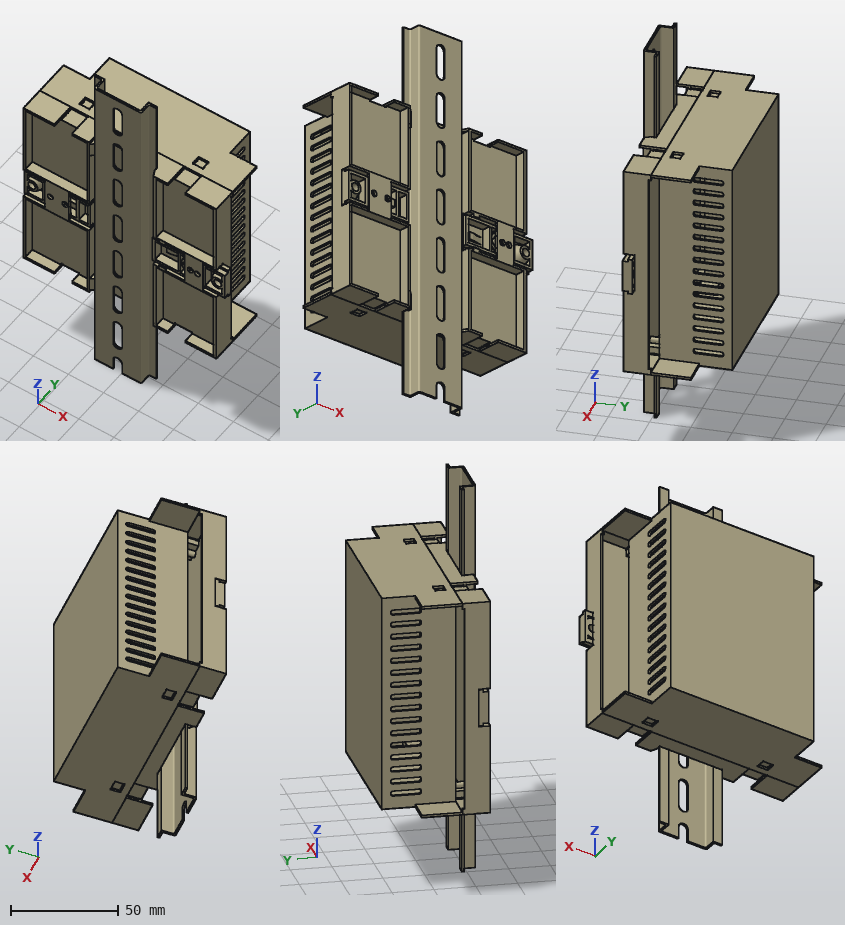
import cadquery as cq

overall_depth = 50.5
enclosure_width = 110.0
enclosure_height = 105.0
wall = 1.24

rail_length = 190.0
rail_width = 35.0
rail_web_width = 27.0
rail_depth = 7.5
rail_thickness = 1.0
rail_bend_radius = 0.8
rail_slot_length = 18.0
rail_slot_width = 5.1
rail_slot_count = 8
rail_first_slot_drop = 15.0

seam_y = 7.8
base_front_y = -5.5
base_end_wall_y = 6.6
base_corner_length = 2.8
floor_thickness = 1.3

channel_left = -17.5
channel_right = 19.0
right_rim = 1.7
lip_reach = 1.5
lip_start_y = -2.3

guide_half_height = 9.3
guide_wall = 1.1
bridge_thickness = 1.5
left_bridge = (-42.8, -29.0)
right_bridge = (36.9, 47.1)
detent_hole_radius = 1.5
left_detents = (-39.7, -31.4)
right_detents = (40.0, 44.0)

hook_reach = 2.8
hook_length = 8.0
hook_back_y = -1.3
hook_tip_y = -3.0

snap_x = 32.3
snap_width = 10.0
snap_inset = 1.9
snap_thickness = 3.5
snap_post_radius = 1.3
window_width = 5.7
window_bottom_y = 11.5
window_top_y = 16.5
nub_clearance = 0.2
nub_inset = 1.1

cover_half_body = 40.0
step_y = 27.2
vent_count = 16
vent_span = 90.0
vent_length = 14.6
vent_width = 2.5
vent_center_y = 31.5

clip_half_height = 9.0
clip_block_half_height = 7.8
clip_flange_y = -2.0
clip_front_y = -4.8
clip_low_y = -3.8
clip_window_half_height = 6.3
clip_end_bar = 1.7
clip_overhang = 4.4
left_window_width = 8.7
right_window_width = 9.5
pin_radius = 1.0
eyelet_offset = 4.2
eyelet_hole_radius = 2.0
eyelet_front_radius = 3.5
eyelet_back_radius = 5.5
clip_tip_x = 16.2
clip_tip_y = -1.1
clip_tip_front_y = -3.0
clip_face_x = 17.9
right_opening = (19.5, 32.7)
right_spring_window = (34.0, 37.6)
left_opening = (-23.8, -18.8)
left_spring_window = (-33.2, -25.5)
spring_height = 2.7
spring_near_z = 0.4
spring_far_z = 5.0
stub_half_height = 1.9

ramp = (23.5, 25.5, 31.4)
ramp_half_height = 1.9
ramp_rise = 1.1
keeper = (22.2, 25.8)
keeper_half_gap = 8.0
keeper_back_y = -2.5

rail_slot_pitch = (rail_length - rail_first_slot_drop) / (rail_slot_count - 1)
vent_pitch = vent_span / (vent_count - 1)
half_width = enclosure_width / 2
half_height = enclosure_height / 2
back_y = overall_depth - rail_depth
clip_outer_x = half_width + clip_overhang
snap_outer_z = half_height - snap_inset
pocket_inner_z = guide_half_height + guide_wall


def block(x_range, y_range, z_range):
    """Box between two limits on each axis."""
    return cq.Workplane("XY").box(
        x_range[1] - x_range[0], y_range[1] - y_range[0], z_range[1] - z_range[0], centered=False
    ).translate((x_range[0], y_range[0], z_range[0]))


def profile(points, z_range):
    """Prism along Z with the given XY outline."""
    prism = cq.Workplane("XY").polyline(points).close().extrude(z_range[1] - z_range[0])
    return prism.translate((0, 0, z_range[0]))


def y_cylinder(x, z, radius, y_front, y_back):
    """Cylinder along Y."""
    return cq.Workplane("XZ", origin=(x, y_front, z)).circle(radius).extrude(y_front - y_back)


def make_rail():
    edge = rail_width / 2
    web = rail_web_width / 2
    t = rail_thickness
    outline = [
        (-edge, 0), (-web + t, 0), (-web + t, t - rail_depth), (web - t, t - rail_depth),
        (web - t, 0), (edge, 0), (edge, -t), (web, -t), (web, -rail_depth),
        (-web, -rail_depth), (-web, -t), (-edge, -t),
    ]
    half_length = rail_length / 2
    rail = profile(outline, (-half_length, half_length))
    web_bends = cq.selectors.BoxSelector(
        (-web - t / 2, -rail_depth - t / 2, -t), (web + t / 2, -t / 2, t)
    )
    rail = rail.edges("|Z").edges(web_bends).fillet(rail_bend_radius)
    for i in range(rail_slot_count):
        z = half_length - rail_first_slot_drop - i * rail_slot_pitch
        slot = (
            cq.Workplane("XZ", origin=(0, t - rail_depth, z))
            .slot2D(rail_slot_length, rail_slot_width, 90)
            .extrude(2 * t, both=True)
        )
        rail = rail.cut(slot)
    return rail


def snap_arm(x, side):
    """Arm at one Z end (side = +1 or -1) whose nub enters a cover window."""
    x_range = (x - snap_width / 2, x + snap_width / 2)
    inner_z = snap_outer_z - snap_thickness
    arm = block(x_range, (0, window_top_y), (inner_z, snap_outer_z))
    post = y_cylinder(x, inner_z - snap_post_radius, snap_post_radius, 0, seam_y)
    rib = block((x - snap_post_radius, x + snap_post_radius), (0, seam_y),
                (inner_z - snap_post_radius, inner_z))
    nub_half_width = window_width / 2 - nub_clearance
    nub = block((x - nub_half_width, x + nub_half_width),
                (window_bottom_y + nub_clearance, window_top_y),
                (inner_z, half_height - nub_inset))
    arm = arm.union(post).union(rib).union(nub)
    return arm if side > 0 else arm.mirror("XY")


def base_shell():
    """Tray open towards the cover, with a rail channel and four pockets in front."""
    x_all = (-half_width, half_width)
    z_all = (-half_height, half_height)
    shell = block(x_all, (base_front_y, seam_y), z_all)
    inner_x = (-half_width + wall, half_width - wall)
    inner_z = (-half_height + wall, half_height - wall)
    shell = shell.cut(block(inner_x, (floor_thickness, seam_y), inner_z))
    low_z = half_height - base_corner_length
    shell = shell.cut(block(x_all, (base_end_wall_y, seam_y), (-low_z, low_z)))
    shell = shell.cut(block((channel_left, channel_right), (base_front_y, 0), inner_z))
    lip_x = channel_right - lip_reach
    channel = [(channel_left, 0), (lip_x, 0), (lip_x, lip_start_y),
               (channel_right, base_front_y), (channel_left, base_front_y)]
    shell = shell.cut(profile(channel, z_all))
    pocket_z = half_height - wall
    pocket_ranges = [
        (-half_width + wall, channel_left - wall),
        (channel_right + right_rim, half_width - right_rim),
    ]
    for x_range in pocket_ranges:
        upper = block(x_range, (base_front_y, 0), (pocket_inner_z, pocket_z))
        shell = shell.cut(upper).cut(upper.mirror("XY"))
    return shell


def cut_guides(base):
    """Clip guides crossing each side, closed in front by a bridge with two detent holes."""
    guide_z = (-guide_half_height, guide_half_height)
    sides = [
        ((-half_width, channel_left), left_bridge, left_detents),
        ((channel_right, half_width), right_bridge, right_detents),
    ]
    for x_range, bridge_x, detents in sides:
        base = base.cut(block(x_range, (base_front_y, 0), guide_z))
        bridge = block(bridge_x, (base_front_y, base_front_y + bridge_thickness), guide_z)
        for x in detents:
            bridge = bridge.cut(y_cylinder(x, 0, detent_hole_radius, base_front_y + bridge_thickness,
                                           base_front_y))
        base = base.union(bridge)
    return base


def rail_hook():
    """Fixed hook that reaches in front of the rail's left flange at the upper end."""
    outline = [(channel_left - wall, hook_back_y), (channel_left + hook_reach, hook_back_y),
               (channel_left + hook_reach, hook_tip_y), (channel_left, base_front_y),
               (channel_left - wall, base_front_y)]
    top = half_height - wall
    return profile(outline, (top - hook_length, top))


def keeper_tab():
    """Tab that holds down the upper flange of the right clip."""
    return block(keeper, (base_front_y, keeper_back_y), (keeper_half_gap, pocket_inner_z))


def clip_ramp():
    toe, crest, foot = ramp
    outline = [(toe, 0), (toe, -ramp_rise), (crest, -ramp_rise), (foot, 0)]
    return profile(outline, (-ramp_half_height, ramp_half_height))


def make_base():
    base = cut_guides(base_shell())
    for x in (-snap_x, snap_x):
        notch = block((x - snap_width / 2, x + snap_width / 2), (base_front_y, seam_y),
                      (snap_outer_z, half_height))
        base = base.cut(notch).cut(notch.mirror("XY"))
        for side in (1, -1):
            base = base.union(snap_arm(x, side))
        opening = block((x - snap_width / 2, x + snap_width / 2), (base_front_y, 0),
                        (pocket_inner_z, half_height))
        base = base.cut(opening).cut(opening.mirror("XY"))
    for part in (rail_hook(), keeper_tab()):
        base = base.union(part).union(part.mirror("XY"))
    return base.union(clip_ramp())


def make_cover():
    """Stepped cover: the Z walls span the full width, the terminal bays beside the body are open."""
    body_x = (-cover_half_body, cover_half_body)
    z_all = (-half_height, half_height)
    cover = block((-half_width, half_width), (seam_y, step_y), z_all)
    cover = cover.union(block(body_x, (seam_y, back_y), z_all))
    inner_z = (-half_height + wall, half_height - wall)
    cavity_x = (-cover_half_body + wall, cover_half_body - wall)
    cover = cover.cut(block(cavity_x, (seam_y, back_y - wall), inner_z))
    bay = block((-half_width, -cover_half_body), (seam_y, step_y), inner_z)
    cover = cover.cut(bay).cut(bay.mirror("YZ"))
    for x in (-snap_x, snap_x):
        cover = cover.cut(block((x - window_width / 2, x + window_width / 2),
                                (window_bottom_y, window_top_y), z_all))
    vents = (
        cq.Workplane("YZ", origin=(0, vent_center_y, 0))
        .rarray(1.9, vent_pitch, 1, vent_count)
        .slot2D(vent_length, vent_width)
        .extrude(half_width, both=True)
    )
    return cover.cut(vents)


def clip_blank(x_range, bridge_x):
    """T-section slider, lowered where it passes under its bridge."""
    flange = block(x_range, (clip_flange_y, 0), (-clip_half_height, clip_half_height))
    raised_z = (-clip_block_half_height, clip_block_half_height)
    raised = block(x_range, (clip_front_y, 0), raised_z)
    raised = raised.cut(block(bridge_x, (clip_front_y, clip_low_y), raised_z))
    return flange.union(raised)


def clip_window(x_range):
    return block(x_range, (clip_front_y, 0), (-clip_window_half_height, clip_window_half_height))


def eyelet(x, window):
    """Conical eyelet that fills part of a clip's end window; its hole is cut separately."""
    cone = (
        cq.Workplane("XZ", origin=(x, 0, 0)).circle(eyelet_back_radius)
        .workplane(offset=-clip_front_y).circle(eyelet_front_radius).loft()
    )
    return cone.intersect(window)


def finish_clip(clip, eyelet_x, end_window, pin_x):
    """Add the end window with its eyelet, and the detent pin."""
    clip = clip.cut(end_window).union(eyelet(eyelet_x, end_window))
    clip = clip.cut(y_cylinder(eyelet_x, 0, eyelet_hole_radius, 0, clip_front_y))
    return clip.union(y_cylinder(pin_x, 0, pin_radius, clip_flange_y, clip_front_y))


def make_left_clip():
    clip = clip_blank((-half_width, channel_left), left_bridge)
    clip = clip.cut(clip_window(left_opening)).cut(clip_window(left_spring_window))
    stub = block(left_spring_window, (clip_low_y, 0), (-stub_half_height, stub_half_height))
    clip = clip.union(stub)
    window_x = -half_width + clip_end_bar
    end_window = clip_window((window_x, window_x + left_window_width))
    return finish_clip(clip, -half_width + eyelet_offset, end_window, left_detents[1])


def make_right_clip():
    clip = clip_blank((clip_face_x, clip_outer_x), right_bridge)
    wedge = [(clip_face_x, clip_tip_y), (clip_tip_x, clip_tip_y), (clip_face_x, clip_tip_front_y)]
    clip = clip.union(profile(wedge, (-clip_half_height, clip_half_height)))
    clip = clip.cut(clip_window(right_opening)).cut(clip_window(right_spring_window))
    near, far = right_spring_window
    half_leaf = spring_height / 2
    leaf = (
        cq.Workplane("XZ")
        .polyline([(near, spring_near_z - half_leaf), (near, spring_near_z + half_leaf),
                   (far, spring_far_z + half_leaf), (far, spring_far_z - half_leaf)])
        .close()
        .extrude(-clip_low_y)
    )
    clip = clip.union(leaf).union(leaf.mirror("XY"))
    window_x = clip_outer_x - clip_end_bar
    end_window = clip_window((window_x - right_window_width, window_x))
    return finish_clip(clip, clip_outer_x - eyelet_offset, end_window, right_detents[0])


rail = make_rail()
base = make_base()
cover = make_cover()
left_clip = make_left_clip()
right_clip = make_right_clip()

bodies = [rail, base, cover, left_clip, right_clip]
result = cq.Compound.makeCompound([body.solids().val() for body in bodies])